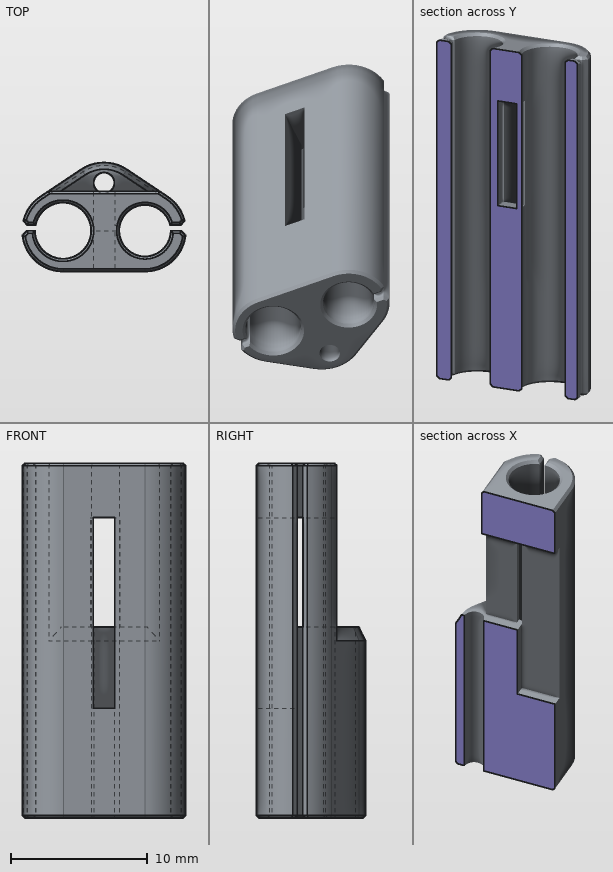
import cadquery as cq
import math

height = 26.0
tube_offset = 3.0
tube_radius = 3.0
left_bore_radius = 2.05
right_bore_radius = 1.88
end_chamfer = 0.2

ridge_y = 2.0
ridge_height = 14.0
ridge_bore_y = 3.5
ridge_bore_diameter = 1.5
ridge_chamfer_inset = 0.5
ridge_chamfer_drop = 1.0
back_y = 2.9

slot_bottom_y = 0.0
slot_width = 0.4
slot_lip_chamfer = 0.35

window_width = 1.55
window_bottom = 8.05
window_top = 22.0
recess_back_y = slot_bottom_y

through = 4 * (tube_offset + tube_radius)


def box(x_range, y_range, z_range):
    """Axis-aligned box from its limits along X, Y and Z."""
    limits = (x_range, y_range, z_range)
    sizes = [high - low for low, high in limits]
    corner = [low for low, high in limits]
    return cq.Workplane("XY").box(*sizes, centered=False).translate(tuple(corner))


def outline():
    """Cross-section: both tubes and the ridge joined by common tangent lines."""
    centre_distance = math.hypot(tube_offset, ridge_y)
    normal_x = ridge_y / centre_distance
    normal_y = tube_offset / centre_distance

    tube_tangent_x = tube_offset + tube_radius * normal_x
    tube_tangent_y = tube_radius * normal_y
    ridge_tangent_x = tube_radius * normal_x
    ridge_tangent_y = ridge_y + tube_radius * normal_y
    side_x = tube_offset + tube_radius
    return (
        cq.Workplane("XY")
        .moveTo(-tube_offset, -tube_radius)
        .lineTo(tube_offset, -tube_radius)
        .threePointArc((side_x, 0), (tube_tangent_x, tube_tangent_y))
        .lineTo(ridge_tangent_x, ridge_tangent_y)
        .threePointArc((0, ridge_y + tube_radius), (-ridge_tangent_x, ridge_tangent_y))
        .lineTo(-tube_tangent_x, tube_tangent_y)
        .threePointArc((-side_x, 0), (-tube_offset, -tube_radius))
        .close()
    )


def make_ridge():
    """Full cross-section up to the ridge top, with a steep chamfer around its top."""
    lower = outline().extrude(ridge_height - ridge_chamfer_drop)
    taper = math.degrees(math.atan2(ridge_chamfer_inset, ridge_chamfer_drop))
    upper = outline().extrude(ridge_chamfer_drop, taper=taper)
    return lower.union(upper.translate((0, 0, ridge_height - ridge_chamfer_drop)))


def make_body():
    """Solid body with a flat back above the ridge, and the ridge behind it."""
    behind = box((-through, through), (back_y, through), (0, height))
    body = outline().extrude(height).cut(behind)
    ridge = make_ridge().intersect(behind)
    return body.union(ridge)


def cut_tubes(body):
    """Bore both tubes and open each one with a slot in its outer side."""
    for x, radius in ((-tube_offset, left_bore_radius), (tube_offset, right_bore_radius)):
        body = body.cut(cq.Workplane("XY").center(x, 0).circle(radius).extrude(height))
    slot_y = (slot_bottom_y, slot_bottom_y + slot_width)
    for x_range in ((-through, -tube_offset), (tube_offset, through)):
        body = body.cut(box(x_range, slot_y, (0, height)))
    return body


def chamfer_edges(body):
    """Bevel the outer lips of the slots, then the rims of both end faces."""
    lip_x = tube_offset + tube_radius
    reach = slot_lip_chamfer
    for side in (-1, 1):
        low = (side * lip_x - reach, slot_bottom_y - reach, -reach)
        high = (side * lip_x + reach, slot_bottom_y + slot_width + reach, height + reach)
        lips = cq.selectors.BoxSelector(low, high)
        body = body.edges("|Z").edges(lips).chamfer(slot_lip_chamfer)
    return body.faces(">Z or <Z").edges().chamfer(end_chamfer)


def cut_window(body):
    """Front window: blind in front of the ridge, through and open to both tubes above it."""
    x_range = (-window_width / 2, window_width / 2)
    blind = box(x_range, (-through, recess_back_y), (window_bottom, window_top))
    opening = box(x_range, (-through, through), (ridge_height, window_top))
    slot_y = (slot_bottom_y, slot_bottom_y + slot_width)
    cross_slot = box((-tube_offset, tube_offset), slot_y, (ridge_height, window_top))
    return body.cut(blind).cut(opening).cut(cross_slot)


def cut_ridge_bore(body):
    """Thin bore from the base to the top of the ridge."""
    bore = cq.Workplane("XY").center(0, ridge_bore_y).circle(ridge_bore_diameter / 2).extrude(ridge_height)
    return body.cut(bore)


result = cut_ridge_bore(cut_window(chamfer_edges(cut_tubes(make_body()))))